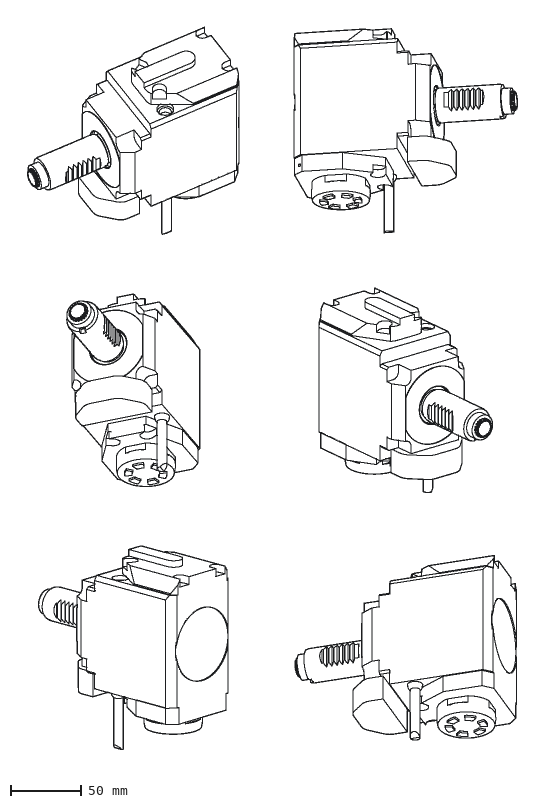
import cadquery as cq
import math


TOTAL_LENGTH = 156.0
TOTAL_HEIGHT = 142.6
WIDTH = 64.0
SHANK_REACH = 57.4
BACK_Y = TOTAL_LENGTH - SHANK_REACH
HALF_WIDTH = WIDTH / 2
KEY_TOP = 58.0
NOZZLE_BOTTOM = KEY_TOP - TOTAL_HEIGHT
SLOPE = math.tan(math.radians(30))

BODY_FRONT_Y = 22.6
BODY_HALF_HEIGHT = 42.0
BODY_TOP_CHAMFER = 2.0
BODY_TOP_CHAMFER_DROP = BODY_TOP_CHAMFER / SLOPE
BODY_BACK_CHAMFER = 5.8
BACK_RECESS_DIAMETER = 54.0
BACK_RECESS_DEPTH = 1.0

FLANGE_HALF_HEIGHT = 32.0
FLANGE_EDGE_CHAMFER = 1.7
FLANGE_BEVEL_DEPTH = 9.4
FLANGE_BEVEL = FLANGE_BEVEL_DEPTH * SLOPE
FLANGE_FACE_HALF_WIDTH = HALF_WIDTH - FLANGE_BEVEL
POCKET_START = 21.4
POCKET_DEPTH = 14.7
POCKET_RADIUS = 5.1
BOSS_DIAMETER = 58.3
BOSS_HEIGHT = 0.5

PLATE_SLOPE_X = 29.0
PLATE_SLOPE_Y = 59.1
TOP_PLATE_TOP = 53.2
TOP_PLATE_HALF_WIDTH = PLATE_SLOPE_X
TOP_PLATE_FRONT_Y = 31.7
TOP_PLATE_BACK_CHAMFER = 3.7
TOP_PLATE_RIM = 1.0
TOP_PLATE_ARC_X = 8.7
TOP_PLATE_ARC_END_Y = 33.0
LOWER_PLATE_BOTTOM = -54.3
LOWER_PLATE_HALF_WIDTH = 31.0
LOWER_PLATE_FRONT_Y = 34.3
LOWER_PLATE_BACK_CHAMFER = 6.7

NOTCH_WIDTH = 10.0
NOTCH_DEPTH = 5.8
NOTCH_X = 13.1
NOTCH_Y = 40.4
NOTCH_ANGLE = -30
BACK_NOTCH_WIDTH = 9.0
BACK_NOTCH_X = 18.4
BACK_NOTCH_LENGTH = 9.0

KEY_WIDTH = 12.8
KEY_BACK_Y = 76.5

FOOT_BOTTOM = -50.4
FOOT_OVERHANG = 0.5
FOOT_HALF_WIDTH = FLANGE_FACE_HALF_WIDTH + FOOT_OVERHANG
FOOT_BACK_Y = 16.0
FOOT_FRONT_Y = -12.3
FOOT_CORNER = 14.4
FOOT_RADIUS = 10.0

SHANK_DIAMETER = 25.0
SHANK_START = 1.0
SHANK_END = 48.5
SHANK_CHAMFER = 0.5
SHANK_CHAMFER_LENGTH = 1.9
NECK_DIAMETER = 22.0
RECESS_DIAMETER = 29.0
RECESS_DEPTH = 2.0
RECESS_CHAMFER = 0.6
NOSE_DIAMETER = 18.7
NOSE_END = 54.8
END_SLOT_WIDTH = 4.2
END_SLOT_TOP = -8.9
END_SLOT_DEPTH = 2.3

FLAT_X = 11.2
VALLEY_X = 9.5
SERRATION_START = 7.5
FIRST_VALLEY = 12.3
VALLEY_COUNT = 6
VALLEY_SPAN = 20.0
TOOTH_PITCH = VALLEY_SPAN / (VALLEY_COUNT - 1)
SERRATION_FLAT_END = 35.3

SPLINE_CORE_DIAMETER = 11.0
SPLINE_DIAMETER = 14.0
SPLINE_TIP_DIAMETER = 12.0
SPLINE_STEP = 56.5
SPLINE_TOOTH_COUNT = 20
SPLINE_TOOTH_WIDTH = 1.0

TOP_HOLE_X = 23.1
TOP_HOLE_COUNTERBORE = 12.0
TOP_HOLE_DIAMETER = 8.7
TOP_HOLE_COUNTERBORE_DEPTH = 3.1
TOP_HOLE_DEPTH = 7.8
PIN_HOLE_DIAMETER = 2.0
PIN_HOLE_DEPTH = 1.5
PIN_HOLE_Z = -48.7
PIN_HOLE_SETBACK = 4.4

NUT_Y = 69.5
NUT_DIAMETER = 42.0
NUT_FLAT = 19.5
NUT_FLAT_BOTTOM = -59.5
NUT_TAPER_TOP = -63.5
NUT_BOTTOM = -67.0
NUT_TAPER = 0.6
LUG_BOTTOM = -68.3
LUG_INNER_RADIUS = 9.8
LUG_OUTER_RADIUS = 15.1
LUG_HALF_ANGLE = 16
LUG_COUNT = 6

NOZZLE_X = 25.0
NOZZLE_Y = 39.5
BALL_RADIUS = 5.5
TUBE_DIAMETER = 7.0


def box(x0, x1, y0, y1, z0, z1):
    """Box between two opposite corners."""
    return cq.Workplane("XY").box(x1 - x0, y1 - y0, z1 - z0, centered=False).translate((x0, y0, z0))


def cylinder_y(diameter, start, end):
    """Cylinder on the shank axis, between two distances in front of the flange face."""
    return cq.Workplane("XZ", origin=(0, -start, 0)).circle(diameter / 2).extrude(end - start)


def housing_block():
    """Main block, with slanted top edges, chamfered rear corners and a shallow back recess."""
    block = box(-HALF_WIDTH, HALF_WIDTH, BODY_FRONT_Y, BACK_Y, -BODY_HALF_HEIGHT, BODY_HALF_HEIGHT)
    block = block.edges("|Z and >Y").chamfer(BODY_BACK_CHAMFER)
    shoulder = BODY_HALF_HEIGHT - BODY_TOP_CHAMFER_DROP
    top_half = HALF_WIDTH - BODY_TOP_CHAMFER
    section = (
        cq.Workplane("XZ", origin=(0, BACK_Y, 0))
        .polyline([
            (-HALF_WIDTH, -BODY_HALF_HEIGHT),
            (HALF_WIDTH, -BODY_HALF_HEIGHT),
            (HALF_WIDTH, shoulder),
            (top_half, BODY_HALF_HEIGHT),
            (-top_half, BODY_HALF_HEIGHT),
            (-HALF_WIDTH, shoulder),
        ])
        .close()
        .extrude(BACK_Y - BODY_FRONT_Y)
    )
    recess = cylinder_y(BACK_RECESS_DIAMETER, -BACK_Y, -BACK_Y + BACK_RECESS_DEPTH)
    return block.intersect(section).cut(recess)


def corner_pocket(side_x, side_z):
    """Rounded pocket that clears one corner of the flange."""
    pocket = box(POCKET_START, HALF_WIDTH, 0, POCKET_DEPTH, POCKET_START, FLANGE_HALF_HEIGHT)
    pocket = pocket.edges("|Y and <X and <Z").fillet(POCKET_RADIUS)
    if side_x < 0:
        pocket = pocket.mirror("YZ")
    if side_z < 0:
        pocket = pocket.mirror("XY")
    return pocket


def flange():
    """Flange with bevelled sides, four corner pockets and a low round boss."""
    plate = box(-HALF_WIDTH, HALF_WIDTH, 0, BODY_FRONT_Y, -FLANGE_HALF_HEIGHT, FLANGE_HALF_HEIGHT)
    plate = plate.edges("|Y").chamfer(FLANGE_EDGE_CHAMFER)
    outline = (
        cq.Workplane("XY", origin=(0, 0, -FLANGE_HALF_HEIGHT))
        .polyline([
            (-HALF_WIDTH, BODY_FRONT_Y),
            (-HALF_WIDTH, FLANGE_BEVEL_DEPTH),
            (-FLANGE_FACE_HALF_WIDTH, 0),
            (FLANGE_FACE_HALF_WIDTH, 0),
            (HALF_WIDTH, FLANGE_BEVEL_DEPTH),
            (HALF_WIDTH, BODY_FRONT_Y),
        ])
        .close()
        .extrude(2 * FLANGE_HALF_HEIGHT)
    )
    plate = plate.intersect(outline)
    for side_x in (-1, 1):
        for side_z in (-1, 1):
            plate = plate.cut(corner_pocket(side_x, side_z))
    boss_limit = box(
        -FLANGE_FACE_HALF_WIDTH, FLANGE_FACE_HALF_WIDTH, -BOSS_HEIGHT, 0, -BOSS_DIAMETER, BOSS_DIAMETER
    )
    return plate.union(cylinder_y(BOSS_DIAMETER, 0, BOSS_HEIGHT).intersect(boss_limit))


def plate_outline(half_width, front_y, back_chamfer, bottom, height):
    """Plate whose front tapers along the shared slanted sides and whose rear corners are cut."""
    slope_start_y = PLATE_SLOPE_Y + (half_width - PLATE_SLOPE_X) / SLOPE
    front_x = PLATE_SLOPE_X - (PLATE_SLOPE_Y - front_y) * SLOPE
    right_side = [
        (front_x, front_y),
        (half_width, slope_start_y),
        (half_width, BACK_Y - back_chamfer),
        (half_width - back_chamfer, BACK_Y),
    ]
    left_side = [(-x, y) for x, y in reversed(right_side)]
    return (
        cq.Workplane("XY", origin=(0, 0, bottom))
        .polyline(right_side + left_side)
        .close()
        .extrude(height)
    )


def side_notches(bottom):
    """Pair of round-ended notches that open square to the slanted plate sides."""
    reach = 2 * NOTCH_WIDTH
    plane = cq.Workplane("XY", origin=(NOTCH_X, NOTCH_Y, bottom)).transformed(rotate=(0, 0, NOTCH_ANGLE))
    round_end = plane.circle(NOTCH_WIDTH / 2).extrude(NOTCH_DEPTH)
    straight = plane.center(reach / 2, 0).rect(reach, NOTCH_WIDTH).extrude(NOTCH_DEPTH)
    notch = round_end.union(straight)
    return notch.union(notch.mirror("YZ"))


def back_notches(bottom):
    """Pair of round-ended notches that open at the back of the top plate."""
    radius = BACK_NOTCH_WIDTH / 2
    center_y = BACK_Y - BACK_NOTCH_LENGTH + radius
    top = bottom + NOTCH_DEPTH
    notch = box(BACK_NOTCH_X - radius, BACK_NOTCH_X + radius, center_y, BACK_Y, bottom, top).union(
        cq.Workplane("XY", origin=(BACK_NOTCH_X, center_y, bottom)).circle(radius).extrude(NOTCH_DEPTH)
    )
    return notch.union(notch.mirror("YZ"))


def front_arc_outline(height):
    """Area behind the front of the top plate, whose corners curve back in tangent arcs."""
    arc_end_x = PLATE_SLOPE_X - (PLATE_SLOPE_Y - TOP_PLATE_ARC_END_Y) * SLOPE
    half = (
        cq.Workplane("XY", origin=(0, 0, BODY_HALF_HEIGHT))
        .moveTo(0, TOP_PLATE_FRONT_Y)
        .lineTo(TOP_PLATE_ARC_X, TOP_PLATE_FRONT_Y)
        .tangentArcPoint((arc_end_x, TOP_PLATE_ARC_END_Y), relative=False)
        .lineTo(TOP_PLATE_HALF_WIDTH, PLATE_SLOPE_Y)
        .lineTo(TOP_PLATE_HALF_WIDTH, BACK_Y)
        .lineTo(0, BACK_Y)
        .close()
        .extrude(height)
    )
    return half.union(half.mirror("YZ"))


def top_plate():
    """Top plate with slanted long sides, rounded front corners and four bolt notches."""
    height = TOP_PLATE_TOP - BODY_HALF_HEIGHT
    plate = plate_outline(
        TOP_PLATE_HALF_WIDTH, TOP_PLATE_FRONT_Y, TOP_PLATE_BACK_CHAMFER, BODY_HALF_HEIGHT, height
    )
    plate = plate.intersect(front_arc_outline(height))
    rim_top = BODY_HALF_HEIGHT + TOP_PLATE_RIM
    top_half = TOP_PLATE_HALF_WIDTH - (TOP_PLATE_TOP - rim_top) * SLOPE
    section = (
        cq.Workplane("XZ", origin=(0, BACK_Y, 0))
        .polyline([
            (-TOP_PLATE_HALF_WIDTH, BODY_HALF_HEIGHT),
            (TOP_PLATE_HALF_WIDTH, BODY_HALF_HEIGHT),
            (TOP_PLATE_HALF_WIDTH, rim_top),
            (top_half, TOP_PLATE_TOP),
            (-top_half, TOP_PLATE_TOP),
            (-TOP_PLATE_HALF_WIDTH, rim_top),
        ])
        .close()
        .extrude(BACK_Y)
    )
    notch_floor = TOP_PLATE_TOP - NOTCH_DEPTH
    return plate.intersect(section).cut(side_notches(notch_floor)).cut(back_notches(notch_floor))


def key():
    """Key with a round rear end, flush with the front of the top plate."""
    radius = KEY_WIDTH / 2
    straight_end = KEY_BACK_Y - radius
    return (
        cq.Workplane("XY", origin=(0, 0, TOP_PLATE_TOP))
        .moveTo(-radius, TOP_PLATE_FRONT_Y)
        .lineTo(radius, TOP_PLATE_FRONT_Y)
        .lineTo(radius, straight_end)
        .threePointArc((0, KEY_BACK_Y), (-radius, straight_end))
        .close()
        .extrude(KEY_TOP - TOP_PLATE_TOP)
    )


def lower_plate():
    """Plate under the block, with front bolt notches and a pin hole in its left rear corner."""
    height = -BODY_HALF_HEIGHT - LOWER_PLATE_BOTTOM
    plate = plate_outline(
        LOWER_PLATE_HALF_WIDTH, LOWER_PLATE_FRONT_Y, LOWER_PLATE_BACK_CHAMFER, LOWER_PLATE_BOTTOM, height
    )
    plate = plate.cut(side_notches(LOWER_PLATE_BOTTOM))
    back_half_width = LOWER_PLATE_HALF_WIDTH - LOWER_PLATE_BACK_CHAMFER
    pin_hole = cq.Workplane(
        cq.Solid.makeCylinder(
            PIN_HOLE_DIAMETER / 2,
            PIN_HOLE_DEPTH,
            cq.Vector(-back_half_width - PIN_HOLE_SETBACK, BACK_Y - PIN_HOLE_SETBACK, PIN_HOLE_Z),
            cq.Vector(1, -1, 0),
        )
    )
    return plate.cut(pin_hole)


def foot():
    """Foot under the flange, with rounded 45 degree front corners."""
    corner_x = FOOT_HALF_WIDTH - FOOT_CORNER
    corner_y = FOOT_FRONT_Y + FOOT_CORNER
    block = (
        cq.Workplane("XY", origin=(0, 0, FOOT_BOTTOM))
        .polyline([
            (-FOOT_HALF_WIDTH, corner_y),
            (-corner_x, FOOT_FRONT_Y),
            (corner_x, FOOT_FRONT_Y),
            (FOOT_HALF_WIDTH, corner_y),
            (FOOT_HALF_WIDTH, FOOT_BACK_Y),
            (-FOOT_HALF_WIDTH, FOOT_BACK_Y),
        ])
        .close()
        .extrude(-FLANGE_HALF_HEIGHT - FOOT_BOTTOM)
    )
    return block.edges("|Z").edges("not >Y").fillet(FOOT_RADIUS)


def serration_cutter():
    """Cutter for the +X side: a flat, a row of V grooves and a run-out."""
    outside = SHANK_DIAMETER
    valley_half = FLAT_X - VALLEY_X
    points = [(outside, -SERRATION_START), (FLAT_X, -SERRATION_START)]
    for index in range(VALLEY_COUNT):
        y = -FIRST_VALLEY - index * TOOTH_PITCH
        points += [(FLAT_X, y + valley_half), (VALLEY_X, y), (FLAT_X, y - valley_half)]
    points += [
        (FLAT_X, -SERRATION_FLAT_END),
        (outside, -SERRATION_FLAT_END - (outside - FLAT_X)),
    ]
    return (
        cq.Workplane("XY", origin=(0, 0, -SHANK_DIAMETER / 2))
        .polyline(points)
        .close()
        .extrude(SHANK_DIAMETER)
    )


def shank():
    """Serrated shank on a narrower neck, with the nose and the end slot."""
    radius = SHANK_DIAMETER / 2
    end_radius = radius - SHANK_CHAMFER
    neck_radius = NECK_DIAMETER / 2
    nose_radius = NOSE_DIAMETER / 2
    turned = (
        cq.Workplane("XY")
        .polyline([
            (0, RECESS_DEPTH),
            (neck_radius, RECESS_DEPTH),
            (neck_radius, -SHANK_START),
            (end_radius, -SHANK_START),
            (radius, -SHANK_START - SHANK_CHAMFER_LENGTH),
            (radius, -SHANK_END + SHANK_CHAMFER_LENGTH),
            (end_radius, -SHANK_END),
            (nose_radius, -SHANK_END),
            (nose_radius, -NOSE_END),
            (0, -NOSE_END),
        ])
        .close()
        .revolve(360, (0, 0, 0), (0, 1, 0))
    )
    half_slot = END_SLOT_WIDTH / 2
    end_slot = box(
        -half_slot, half_slot, -SHANK_END, -SHANK_END + END_SLOT_DEPTH, -SHANK_DIAMETER, END_SLOT_TOP
    )
    cutter = serration_cutter()
    return turned.cut(cutter).cut(cutter.mirror("YZ")).cut(end_slot)


def spline():
    """Splined tip of the drive shaft; its teeth are lower at the very end."""
    core = cylinder_y(SPLINE_CORE_DIAMETER, NOSE_END, SHANK_REACH)
    envelope = cylinder_y(SPLINE_DIAMETER, NOSE_END, SPLINE_STEP)
    envelope = envelope.union(cylinder_y(SPLINE_TIP_DIAMETER, SPLINE_STEP, SHANK_REACH))
    half_tooth = SPLINE_TOOTH_WIDTH / 2
    tooth = box(-half_tooth, half_tooth, -SHANK_REACH, -NOSE_END, 0, SPLINE_DIAMETER / 2)
    for index in range(SPLINE_TOOTH_COUNT):
        angle = 360 / SPLINE_TOOTH_COUNT * index
        core = core.union(tooth.rotate((0, 0, 0), (0, 1, 0), angle).intersect(envelope))
    return core


def shank_recess():
    """Chamfered round recess in the boss, around the neck of the shank."""
    radius = RECESS_DIAMETER / 2
    return (
        cq.Workplane("XY")
        .polyline([
            (0, -BOSS_HEIGHT),
            (radius, -BOSS_HEIGHT),
            (radius - RECESS_CHAMFER, RECESS_CHAMFER - BOSS_HEIGHT),
            (radius - RECESS_CHAMFER, RECESS_DEPTH),
            (0, RECESS_DEPTH),
        ])
        .close()
        .revolve(360, (0, 0, 0), (0, 1, 0))
    )


def top_hole():
    """Counterbored blind hole in the top of the block, above the nozzle."""
    start = cq.Workplane("XY", origin=(TOP_HOLE_X, NOZZLE_Y, BODY_HALF_HEIGHT))
    counterbore = start.circle(TOP_HOLE_COUNTERBORE / 2).extrude(-TOP_HOLE_COUNTERBORE_DEPTH)
    return counterbore.union(start.circle(TOP_HOLE_DIAMETER / 2).extrude(-TOP_HOLE_DEPTH))


def nozzle_ball():
    """Ball centred on the underside of the block, also the shape of its seat in the housing."""
    return cq.Workplane("XY", origin=(NOZZLE_X, NOZZLE_Y, -BODY_HALF_HEIGHT)).sphere(BALL_RADIUS)


def make_housing():
    """Housing with its flange, plates, foot and shank."""
    housing = housing_block().cut(top_hole()).union(flange()).union(lower_plate()).union(foot())
    housing = housing.union(top_plate()).union(key())
    housing = housing.cut(shank_recess()).union(shank()).union(spline())
    return housing.cut(nozzle_ball())


def make_nut():
    """Collet nut with four flats, a tapered lower rim and a ring of lugs."""
    radius = NUT_DIAMETER / 2
    nut = (
        cq.Workplane("XZ", origin=(0, NUT_Y, 0))
        .polyline([
            (0, LOWER_PLATE_BOTTOM),
            (radius, LOWER_PLATE_BOTTOM),
            (radius, NUT_TAPER_TOP),
            (radius - NUT_TAPER, NUT_BOTTOM),
            (0, NUT_BOTTOM),
        ])
        .close()
        .revolve(360, (0, 0, 0), (0, 1, 0))
    )
    flats = (
        cq.Workplane("XY", origin=(0, NUT_Y, NUT_FLAT_BOTTOM))
        .rect(2 * NUT_DIAMETER, 2 * NUT_DIAMETER)
        .rect(2 * NUT_FLAT, 2 * NUT_FLAT)
        .extrude(LOWER_PLATE_BOTTOM - NUT_FLAT_BOTTOM)
    )
    nut = nut.cut(flats)
    sweep = 2 * LUG_HALF_ANGLE
    lug = (
        cq.Workplane("XZ")
        .polyline([
            (LUG_INNER_RADIUS, LUG_BOTTOM),
            (LUG_OUTER_RADIUS, LUG_BOTTOM),
            (LUG_OUTER_RADIUS, NUT_BOTTOM),
            (LUG_INNER_RADIUS, NUT_BOTTOM),
        ])
        .close()
        .revolve(sweep, (0, 0, 0), (0, 1, 0))
        .rotate((0, 0, 0), (0, 0, 1), 90 - LUG_HALF_ANGLE)
    )
    for index in range(LUG_COUNT):
        angle = 360 / LUG_COUNT * index
        nut = nut.union(lug.rotate((0, 0, 0), (0, 0, 1), angle).translate((0, NUT_Y, 0)))
    return nut


def make_nozzle():
    """Coolant nozzle: a ball with a tube whose tip is cut at 45 degrees."""
    radius = TUBE_DIAMETER / 2
    tube = (
        cq.Workplane("XY", origin=(NOZZLE_X, NOZZLE_Y, NOZZLE_BOTTOM))
        .circle(radius)
        .extrude(-BODY_HALF_HEIGHT - NOZZLE_BOTTOM)
    )
    tip_cut = (
        cq.Workplane("XZ", origin=(NOZZLE_X, NOZZLE_Y + radius, NOZZLE_BOTTOM))
        .polyline([(0, 0), (radius, 0), (radius, radius)])
        .close()
        .extrude(TUBE_DIAMETER)
    )
    return nozzle_ball().union(tube.cut(tip_cut))


housing = make_housing()
nut = make_nut()
nozzle = make_nozzle()
result = cq.Compound.makeCompound([housing.val(), nut.val(), nozzle.val()])